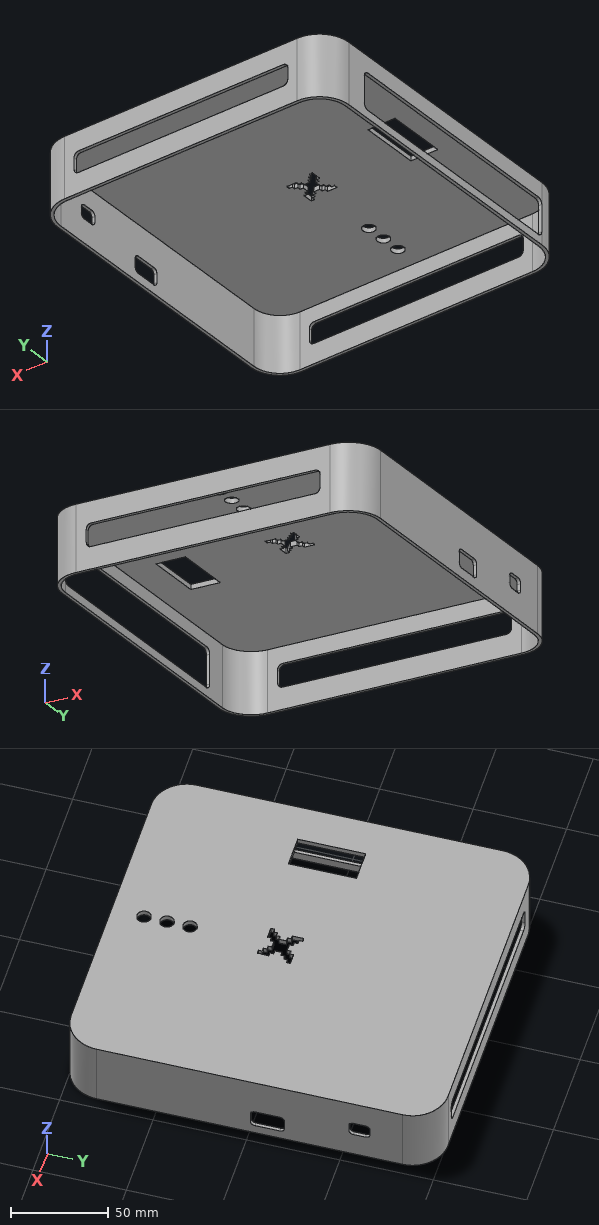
import cadquery as cq

length_x = 188.3
length_y = 201.8
height = 38.8
corner_radius = 19.0
wall = 2.0
roof = 3.0

slot_radius = 3.0
end_slot_length = 138.3
end_slot_bottom = 12.7
end_slot_top = 26.0

left_slot_front = -length_y / 2 + corner_radius
left_slot_rear = 68.6
left_slot_bottom = 5.0
left_slot_top = 28.0

small_port = (58.7, 19.4, 11.3, 8.5)
large_port = (9.5, 10.9, 18.2, 10.5)
port_radius = 2.5

window_center_x = -64.0
window_center_y = -3.6
window_width = 17.4
window_length = 36.3
hole_diameter = 7.5
hole_count = 3
hole_pitch = 12.3
middle_hole_y = -71.0
pinwheel_center_y = -10.3
pinwheel_step = 2.0
quarter_turns = 4

wall_cut_depth = 4 * wall
roof_cut_height = 2 * height
full_cut_length = 2 * length_y


def rounded_block(width, depth, block_height, radius):
    """Block standing on z = 0 with rounded upright edges."""
    return (
        cq.Workplane("XY")
        .rect(width, depth)
        .extrude(block_height)
        .edges("|Z")
        .fillet(radius)
    )


def make_shell():
    outside = rounded_block(length_x, length_y, height, corner_radius)
    cavity = rounded_block(
        length_x - 2 * wall, length_y - 2 * wall, height - roof, corner_radius - wall
    )
    return outside.cut(cavity)


def make_end_slots():
    """One long cutter that passes through both end walls."""
    return (
        cq.Workplane("XY")
        .box(end_slot_length, full_cut_length, end_slot_top - end_slot_bottom)
        .edges("|Y")
        .fillet(slot_radius)
        .translate((0, 0, (end_slot_top + end_slot_bottom) / 2))
    )


def make_side_opening(wall_x, center_y, center_z, width, opening_height, radius):
    """Rounded rectangular cutter through a wall that faces along X."""
    return (
        cq.Workplane("XY")
        .box(wall_cut_depth, width, opening_height)
        .edges("|X")
        .fillet(radius)
        .translate((wall_x, center_y, center_z))
    )


def make_left_slot():
    center_y = (left_slot_rear + left_slot_front) / 2
    center_z = (left_slot_top + left_slot_bottom) / 2
    slot_length = left_slot_rear - left_slot_front
    slot_height = left_slot_top - left_slot_bottom
    return make_side_opening(
        -length_x / 2, center_y, center_z, slot_length, slot_height, slot_radius
    )


def make_port(port):
    center_y, center_z, width, port_height = port
    return make_side_opening(
        length_x / 2, center_y, center_z, width, port_height, port_radius
    )


def make_window():
    return (
        cq.Workplane("XY")
        .center(window_center_x, window_center_y)
        .rect(window_width, window_length)
        .extrude(roof_cut_height)
    )


def make_holes():
    """Row of round holes along Y, centered across the roof."""
    return (
        cq.Workplane("XY")
        .center(0, middle_hole_y)
        .rarray(2, hole_pitch, 1, hole_count)
        .circle(hole_diameter / 2)
        .extrude(roof_cut_height)
    )


def make_pinwheel():
    """Stepped cross: one arm outline, in grid steps, repeated at each quarter turn."""
    arm = [(1, 2), (1, 3), (2, 3), (2, 4), (5, 4), (5, 3), (4, 3), (4, 2), (3, 2), (3, 1), (2, 1)]
    outline = []
    for _ in range(quarter_turns):
        outline += [(x * pinwheel_step, y * pinwheel_step) for x, y in arm]
        arm = [(y, -x) for x, y in arm]
    return (
        cq.Workplane("XY")
        .center(0, pinwheel_center_y)
        .polyline(outline)
        .close()
        .extrude(roof_cut_height)
    )


result = make_shell()
result = result.cut(make_end_slots())
result = result.cut(make_left_slot())
for port in (small_port, large_port):
    result = result.cut(make_port(port))
result = result.cut(make_window())
result = result.cut(make_holes())
result = result.cut(make_pinwheel())